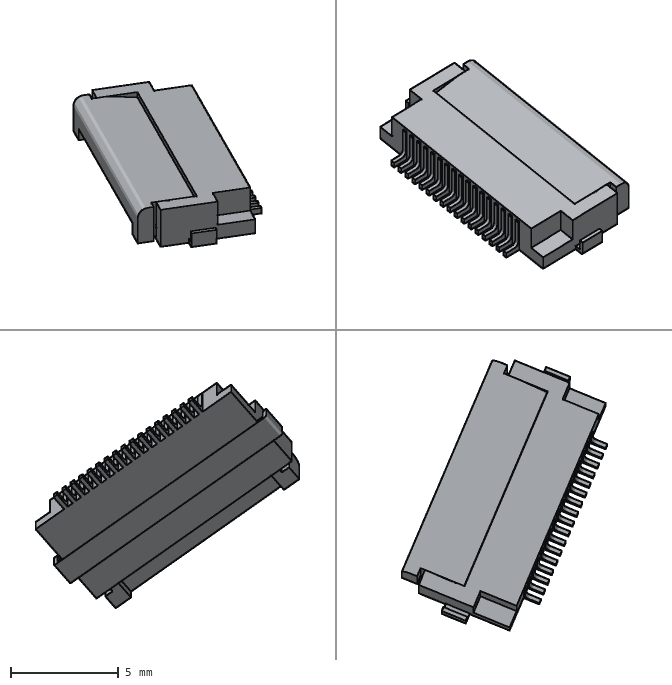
import cadquery as cq


overall_length = 12.6
overall_depth = 6.4
height = 2.0

housing_length = 11.59
housing_depth = 4.6
rear_block_length = 9.9
ledge_depth = 1.83
ledge_height = 0.75
cable_floor = 0.6

contact_count = 17
contact_row_length = 8.0
contact_width = 0.21
contact_reach = 0.8
contact_height = 1.83
contact_stem = 0.08
contact_foot = 0.3
contact_radius = 0.23

slider_length = 10.9
tongue_length = 10.05
tongue_back = 2.62
ramp_front = 4.17
ramp_drop = 0.28
slider_underside = 0.75
leg_gap = 9.07
leg_bottom = 0.15
bar_gap = 0.23
bar_radius = 0.49

strap_back = 2.02
strap_width = 1.21
strap_thickness = 0.2
strap_height = 0.8
strap_outer_radius = 0.11
strap_inner_radius = 0.06

contact_pitch = contact_row_length / (contact_count - 1)
housing_front = -housing_depth
bar_back = housing_front - bar_gap
slider_front = contact_reach - overall_depth


def block(length, y_front, y_back, z_bottom, z_top):
    """Box centred on X = 0 between the given Y and Z limits."""
    size_y = y_back - y_front
    size_z = z_top - z_bottom
    box = cq.Workplane("XY").box(length, size_y, size_z, centered=(True, False, False))
    return box.translate((0, y_front, z_bottom))


def contact(x):
    """L-shaped contact tail behind the housing, with a rounded inner corner."""
    return (
        cq.Workplane("YZ")
        .moveTo(0, 0)
        .lineTo(contact_reach, 0)
        .lineTo(contact_reach, contact_foot)
        .lineTo(contact_stem + contact_radius, contact_foot)
        .radiusArc((contact_stem, contact_foot + contact_radius), contact_radius)
        .lineTo(contact_stem, contact_height)
        .lineTo(0, contact_height)
        .close()
        .extrude(contact_width / 2, both=True)
        .translate((x, 0, 0))
    )


def make_strap():
    """Flat strip across the underside, bent up into a hook at each end."""
    y_front = -strap_back - strap_width
    strip = block(overall_length, y_front, -strap_back, 0, strap_height)
    strip = strip.edges("|Y and <Z").fillet(strap_outer_radius)
    inner_length = overall_length - 2 * strap_thickness
    hollow = block(inner_length, y_front, -strap_back, strap_thickness, strap_height)
    hollow = hollow.edges("|Y and <Z").fillet(strap_inner_radius)
    return strip.cut(hollow)


def make_slider():
    """Front bar on two legs with a ramped tongue that reaches into the housing."""
    bar = block(slider_length, slider_front, bar_back, leg_bottom, height)
    bar = bar.edges("|X and <Y and >Z").fillet(bar_radius)
    neck = block(tongue_length, bar_back, housing_front, leg_bottom, height)
    leg_opening = block(leg_gap, slider_front, housing_front, leg_bottom, slider_underside)
    tongue = (
        cq.Workplane("YZ")
        .moveTo(housing_front, slider_underside)
        .lineTo(-tongue_back, slider_underside)
        .lineTo(-tongue_back, height - ramp_drop)
        .lineTo(-ramp_front, height)
        .lineTo(housing_front, height)
        .close()
        .extrude(tongue_length / 2, both=True)
    )
    return bar.union(neck).cut(leg_opening).union(tongue)


def make_housing():
    """Stepped housing with the tongue recess, the strap channel and the contacts."""
    base = block(housing_length, housing_front, 0, 0, ledge_height)
    shoulder = block(housing_length, housing_front, -ledge_depth, 0, height)
    rear_block = block(rear_block_length, -ledge_depth, 0, 0, height)
    body = base.union(shoulder).union(rear_block)

    tongue_recess = block(tongue_length, housing_front, -tongue_back, cable_floor, height)
    strap_channel = block(
        housing_length, -strap_back - strap_width, -strap_back, 0, strap_thickness
    )
    body = body.cut(tongue_recess).cut(strap_channel)

    for index in range(contact_count):
        x = index * contact_pitch - contact_row_length / 2
        body = body.union(contact(x))
    return body


housing = make_housing()
slider = make_slider()
strap = make_strap()

result = cq.Compound.makeCompound([
    *housing.solids().vals(),
    *slider.solids().vals(),
    *strap.solids().vals(),
])